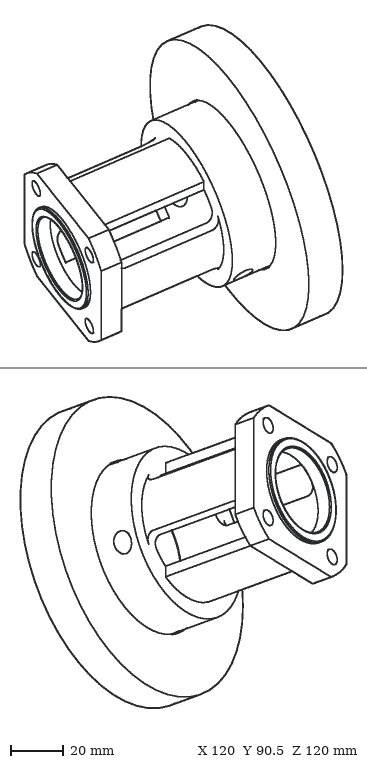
import cadquery as cq

rim_height = 1.5
plate_thickness = 9.0
window_length = 46.0
hub_length = 19.0
flange_thickness = 15.0
seat_depth = 2.0

flange_front = -flange_thickness
seat_floor = flange_front + seat_depth
hub_front = flange_front - hub_length
plate_back = hub_front - window_length
plate_front = plate_back - plate_thickness
rim_front = plate_front - rim_height

flange_diameter = 120
hub_diameter = 69.0
seat_diameter = 70.0
tube_outer_diameter = 55.9
tube_bore_diameter = 48
back_bore_diameter = 47.0
plate_side = 58.1
plate_corner_diameter = 70.0
rim_diameter = 42
plate_bore_diameter = 34.0
plate_lip_length = 6
edge_chamfer = 0.5

wide_strut_half_width = 13.1
narrow_strut_half_width = 11.1
window_fillet = 4.0

bolt_hole_diameter = 6.2
bolt_hole_offset = 20.0
cross_hole_diameter = 8.0
cross_hole_z = -15.0
cross_hole_y = hub_front + 6.8


def cylinder(diameter, y_start, y_end):
    """Solid cylinder on the Y axis between two axial positions."""
    return (
        cq.Workplane("XZ", origin=(0, y_end, 0))
        .circle(diameter / 2)
        .extrude(y_end - y_start)
    )


def seated_hub_flange():
    """Flange with a shallow seat, and the hub standing in it with a narrow gap around it."""
    flange = cylinder(flange_diameter, flange_front, 0)
    seat = cylinder(seat_diameter, flange_front, seat_floor)
    hub = cylinder(hub_diameter, hub_front, seat_floor)
    return flange.cut(seat).union(hub)


def end_plate():
    """Square plate with its corners rounded to a common circle."""
    square = (
        cq.Workplane("XZ", origin=(0, plate_back, 0))
        .rect(plate_side, plate_side)
        .extrude(plate_thickness)
    )
    return square.intersect(cylinder(plate_corner_diameter, plate_front, plate_back))


def window(x_side, z_side):
    """Cutter for one window, rounded where it meets the narrow strut."""
    size = tube_outer_diameter / 2
    cutter = cq.Workplane("XY").box(size, window_length, size, centered=(False, False, False))
    cutter = cutter.edges("|X and <Z").fillet(window_fillet)
    cutter = cutter.translate((wide_strut_half_width, hub_front - window_length, narrow_strut_half_width))
    if x_side < 0:
        cutter = cutter.mirror("YZ")
    if z_side < 0:
        cutter = cutter.mirror("XY")
    return cutter


tube = cylinder(tube_outer_diameter, plate_back, hub_front)
for x_side in (-1, 1):
    for z_side in (-1, 1):
        tube = tube.cut(window(x_side, z_side))

rim = cylinder(rim_diameter, rim_front, plate_front).faces("<Y").edges().chamfer(edge_chamfer)

body = (
    seated_hub_flange()
    .union(tube)
    .union(end_plate())
    .union(rim)
)

lip_back = rim_front + plate_lip_length
body = body.cut(cylinder(tube_bore_diameter, lip_back, seat_floor))
body = body.cut(cylinder(back_bore_diameter, seat_floor, 0))
body = body.cut(cylinder(plate_bore_diameter, rim_front, lip_back))
bore_edge = body.faces("<Y").edges(cq.selectors.RadiusNthSelector(0))
body = bore_edge.chamfer(edge_chamfer)

bolt_holes = (
    cq.Workplane("XZ", origin=(0, plate_back, 0))
    .rect(2 * bolt_hole_offset, 2 * bolt_hole_offset, forConstruction=True)
    .vertices()
    .circle(bolt_hole_diameter / 2)
    .extrude(plate_thickness)
)
body = body.cut(bolt_holes)

cross_hole = (
    cq.Workplane("YZ")
    .center(cross_hole_y, cross_hole_z)
    .circle(cross_hole_diameter / 2)
    .extrude(hub_diameter / 2, both=True)
)
result = body.cut(cross_hole)